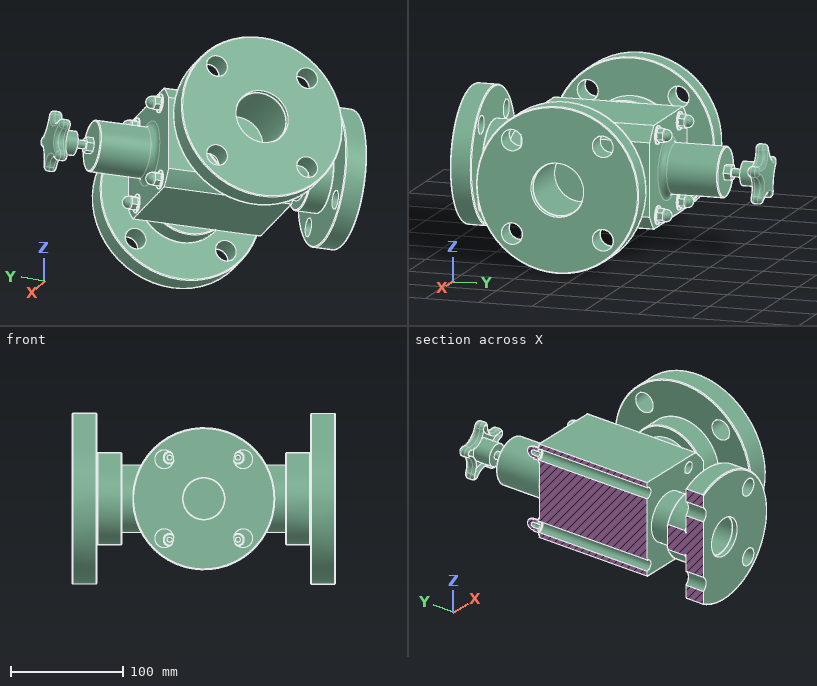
import cadquery as cq
import math


block_width = 105.0
block_height = 94.8
block_back = 65.0
block_front = -55.8
block_corner_diameter = 125.0

side_reach = 117.5
side_flange_step = 22.3
side_collar_step = 22.3
side_pipe_diameter = 60.2
side_collar_diameter = 82.3
side_flange_diameter = 152.3
side_bolt_spacing = 85.4
side_bolt_hole = 19.5
side_bore = 48.5
side_mouth = 49.5

branch_reach = 118.8
branch_flange_step = 19.8
branch_collar_step = 21.0
branch_pipe_diameter = 48.5
branch_collar_diameter = 66.0
branch_flange_diameter = 126.5
branch_bolt_spacing = 70.3
branch_bolt_hole = 16.7
branch_bore = 36.8
branch_mouth = 37.7

mouth_depth = 5.0
edge_chamfer = 0.8

stud_spacing_x = 60.8
stud_spacing_z = 73.0
stud_hole = 11.0
washer_hole = 9.5
washer_diameter = 16.7
washer_thickness = 0.8
nut_flats = 11.2
nut_hex_height = 5.5
nut_collar_height = 1.5
nut_bore = 4.5
nut_turn = 90.0

bonnet_diameter = 46.3
bonnet_top = 118.8
bonnet_fillet = 6.0
gland_corner_diameter = 14.8
gland_top = 125.5
gland_turn = 3.0
stem_diameter = 7.5
hub_diameter = 22.0
hub_bottom = 135.5

knob_bottom = 147.8
knob_top = 160.0
knob_rim_drop = 2.5
lobe_count = 5
lobe_circle_radius = 23.5
lobe_radius = 4.7
valley_radius = 16.7
knob_fillet = 3.3
knob_wall = 2.0
knob_hollow_depth = 5.5


def cylinder_y(diameter, y_start, y_end, x=0.0, z=0.0):
    """Cylinder along Y between two positions."""
    base = cq.Workplane("XZ", origin=(x, y_start, z))
    return base.circle(diameter / 2).extrude(y_start - y_end)


def hexagon_y(corner_diameter, y_start, y_end, turn, x=0.0, z=0.0):
    """Hexagonal prism along Y, turned about its own axis by an angle in degrees."""
    base = cq.Workplane("XZ", origin=(x, y_start, z)).transformed(rotate=(0, 0, turn))
    return base.polygon(6, corner_diameter).extrude(y_start - y_end)


def square_pattern(spacing_x, spacing_z):
    """Four (x, z) centres, symmetric about both axes."""
    return [(sx * spacing_x / 2, sz * spacing_z / 2) for sx in (-1, 1) for sz in (-1, 1)]


def flanged_pipe(reach, flange_step, collar_step, root, pipe_diameter, collar_diameter, flange_diameter):
    """Pipe along +Z from root, carrying a collar and a flange that ends at reach."""
    flange_back = reach - flange_step
    collar_back = flange_back - collar_step
    pipe = cq.Workplane("XY", origin=(0, 0, root)).circle(pipe_diameter / 2).extrude(flange_back - root)
    collar = cq.Workplane("XY", origin=(0, 0, collar_back)).circle(collar_diameter / 2).extrude(collar_step)
    flange = cq.Workplane("XY", origin=(0, 0, flange_back)).circle(flange_diameter / 2).extrude(flange_step)
    return pipe.union(collar.edges().chamfer(edge_chamfer)).union(flange.edges().chamfer(edge_chamfer))


def pipe_openings(reach, flange_step, root, bore, mouth, bolt_spacing, bolt_hole):
    """Blind bore with a wider mouth, and the four bolt holes of the flange, along +Z."""
    opening = cq.Workplane("XY", origin=(0, 0, root)).circle(bore / 2).extrude(reach - root)
    recess = cq.Workplane("XY", origin=(0, 0, reach)).circle(mouth / 2).extrude(-mouth_depth)
    bolts = cq.Workplane("XY", origin=(0, 0, reach)).rect(bolt_spacing, bolt_spacing, forConstruction=True)
    bolts = bolts.vertices().circle(bolt_hole / 2).extrude(-flange_step)
    return opening.union(recess).union(bolts)


def make_side(direction):
    """Side pipe towards +X (1) or -X (-1)."""
    root = block_width / 2
    pipe = flanged_pipe(
        side_reach, side_flange_step, side_collar_step, root,
        side_pipe_diameter, side_collar_diameter, side_flange_diameter,
    )
    openings = pipe_openings(
        side_reach, side_flange_step, root, side_bore, side_mouth, side_bolt_spacing, side_bolt_hole
    )
    return pipe.cut(openings).rotate((0, 0, 0), (0, 1, 0), direction * 90)


def make_branch():
    """Branch pipe towards -Y."""
    root = -block_front
    pipe = flanged_pipe(
        branch_reach, branch_flange_step, branch_collar_step, root,
        branch_pipe_diameter, branch_collar_diameter, branch_flange_diameter,
    )
    openings = pipe_openings(
        branch_reach, branch_flange_step, root, branch_bore, branch_mouth,
        branch_bolt_spacing, branch_bolt_hole,
    )
    return pipe.cut(openings).rotate((0, 0, 0), (1, 0, 0), 90)


def make_block():
    """Rectangular block whose four long edges are turned to a common cylinder."""
    length = block_back - block_front
    block = cq.Workplane("XZ", origin=(0, block_back, 0)).rect(block_width, block_height).extrude(length)
    return block.intersect(cylinder_y(block_corner_diameter, block_front, block_back))


def make_nut(x, z):
    """Washer and domed nut on the back of the block."""
    washer_top = block_back + washer_thickness
    hex_top = washer_top + nut_hex_height
    dome_base = hex_top + nut_collar_height
    nut_corners = nut_flats / math.cos(math.pi / 6)
    washer = cylinder_y(washer_diameter, block_back, washer_top, x, z)
    hexagon = hexagon_y(nut_corners, washer_top, hex_top, nut_turn, x, z)
    collar = cylinder_y(nut_flats, hex_top, dome_base, x, z)
    dome = cq.Workplane("XY", origin=(x, dome_base, z)).sphere(nut_flats / 2)
    return washer.union(hexagon).union(collar).union(dome)


def make_stud_hole(x, z):
    """Hole through the block, narrowing through the washer to the round-ended bore of the nut."""
    nut_face = block_back + washer_thickness
    bore_end = nut_face + nut_hex_height
    clearance = cylinder_y(stud_hole, block_front, block_back, x, z)
    washer_opening = cylinder_y(washer_hole, block_back, nut_face, x, z)
    bore = cylinder_y(nut_bore, nut_face, bore_end, x, z)
    bore_tip = cq.Workplane("XY", origin=(x, bore_end, z)).sphere(nut_bore / 2)
    return clearance.union(washer_opening).union(bore).union(bore_tip)


def make_bonnet():
    """Bonnet with a fillet flaring onto the block, gland nut and stem."""
    radius = bonnet_diameter / 2
    bend = bonnet_fillet * (1 - math.sqrt(0.5))
    bonnet = (
        cq.Workplane("XY")
        .moveTo(0, block_back)
        .lineTo(radius + bonnet_fillet, block_back)
        .threePointArc(
            (radius + bend, block_back + bend),
            (radius, block_back + bonnet_fillet),
        )
        .lineTo(radius, bonnet_top - edge_chamfer)
        .lineTo(radius - edge_chamfer, bonnet_top)
        .lineTo(0, bonnet_top)
        .close()
        .revolve(360, (0, 0), (0, 1))
    )
    gland = hexagon_y(gland_corner_diameter, bonnet_top, gland_top, gland_turn)
    stem = cylinder_y(stem_diameter, gland_top, hub_bottom)
    return bonnet.union(gland).union(stem)


def knob_outline(inset):
    """Star of round lobes joined by tangent valleys, one lobe towards +Z, shrunk evenly by inset."""
    lobe_arc = lobe_radius - inset
    valley_bottom = valley_radius - inset
    half_pitch = math.pi / lobe_count
    reach = valley_bottom - lobe_arc
    valley_centre = (lobe_circle_radius**2 - reach**2) / (
        2 * (lobe_circle_radius * math.cos(half_pitch) - reach)
    )
    valley_arc = valley_centre - valley_bottom
    lobe_share = lobe_arc / (lobe_arc + valley_arc)

    def polar(radius, angle):
        return (radius * math.cos(angle), radius * math.sin(angle))

    def tangent_point(lobe_angle, side):
        lobe = polar(lobe_circle_radius, lobe_angle)
        valley = polar(valley_centre, lobe_angle + side * half_pitch)
        return tuple(a + lobe_share * (b - a) for a, b in zip(lobe, valley))

    lobe_angles = [math.pi / 2 + 2 * half_pitch * i for i in range(lobe_count)]
    outline = cq.Workplane("XZ", origin=(0, knob_bottom, 0)).moveTo(*tangent_point(lobe_angles[0], -1))
    for angle in lobe_angles:
        outline = outline.threePointArc(
            polar(lobe_circle_radius + lobe_arc, angle), tangent_point(angle, 1)
        )
        outline = outline.threePointArc(
            polar(valley_bottom, angle + half_pitch), tangent_point(angle + 2 * half_pitch, -1)
        )
    return outline.close()


def make_knob():
    """Lobed knob with a domed top and rounded rims, hollow underneath around the end of the hub."""
    tip_radius = lobe_circle_radius + lobe_radius
    dome_radius = (tip_radius**2 + knob_rim_drop**2) / (2 * knob_rim_drop)
    dome = cq.Workplane("XY", origin=(0, knob_top - dome_radius, 0)).sphere(dome_radius)
    height = knob_top - knob_bottom
    knob = knob_outline(0).extrude(-height).intersect(dome)
    knob = knob.faces("<Y").edges().fillet(knob_fillet)
    knob = knob.faces("%SPHERE").edges().fillet(knob_fillet)
    hollow = knob_outline(knob_wall).extrude(-knob_hollow_depth)
    hub = cylinder_y(hub_diameter, hub_bottom, knob_bottom + knob_hollow_depth)
    return knob.cut(hollow).union(hub)


result = make_block().union(make_bonnet()).union(make_knob()).union(make_branch())
for direction in (-1, 1):
    result = result.union(make_side(direction))
for x, z in square_pattern(stud_spacing_x, stud_spacing_z):
    result = result.union(make_nut(x, z)).cut(make_stud_hole(x, z))